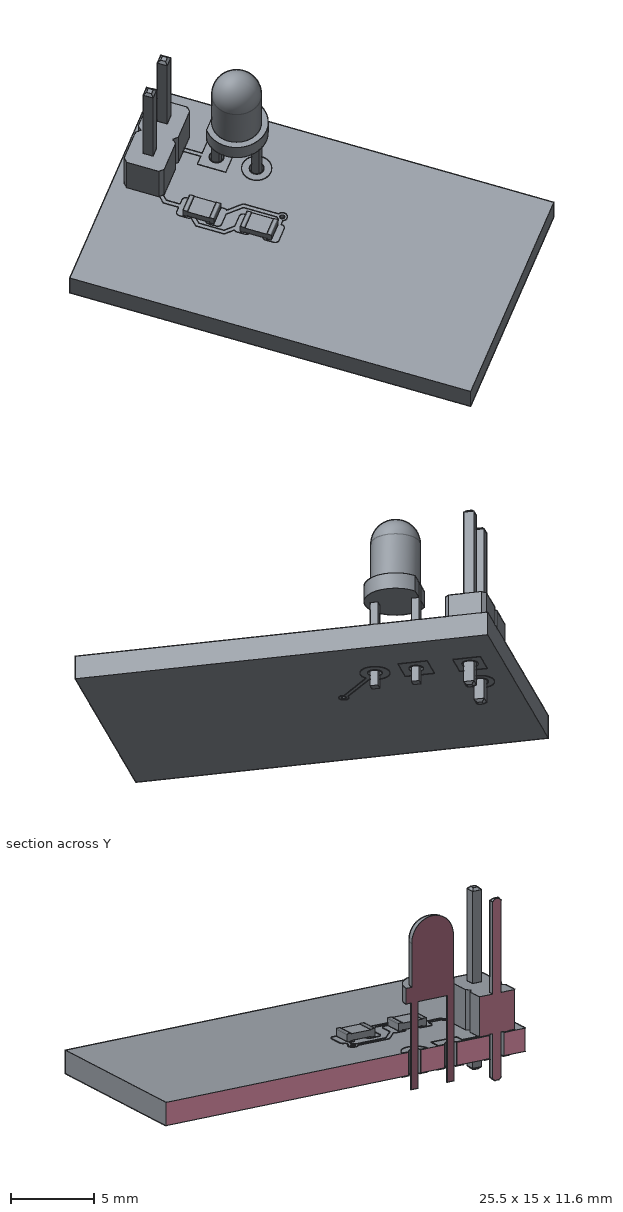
import cadquery as cq
import math


board_length = 25.5
board_width = 15.0
board_thickness = 1.5

copper_thickness = 0.035
track_width = 0.25
copper_top = copper_thickness
copper_bottom = -board_thickness - copper_thickness

pitch = 2.55

header_x = 2.01
header_upper_pin_y = 11.3
header_lower_pin_y = header_upper_pin_y - pitch
header_drill = 1.0
header_bore = 0.95
header_pad = 1.7
housing_size = pitch
housing_chamfer = 0.25
pin_width = 0.65
pin_above_board = 8.6
pin_below_board = 2.95
pin_tip_chamfer = 0.16

led_x = 6.58
led_y = 11.45
led_drill = 0.9
led_bore = 0.85
led_pad = 1.8
lens_diameter = 3.0
flange_diameter = 3.8
flange_bottom = 3.05
flange_height = 1.02
dome_start = 6.85
lead_width = 0.48
lead_below_board = 2.45
led_left_lead_x = led_x - pitch / 2
led_right_lead_x = led_x + pitch / 2

resistor_y = 7.27
resistor_1_x = 5.85
resistor_2_x = 9.49
resistor_length = 2.0
resistor_width = 1.22
resistor_height = 0.5
cap_length = 0.3
cap_rise = 0.04
resistor_pad_length = 1.02
resistor_pad_width = 1.4
resistor_pad_radius = 0.25
resistor_pad_offset = 0.92

via_x = 10.5
via_y = 8.55
via_drill = 0.3
via_bore = 0.25
via_pad = 0.6

upper_link_y = 8.55
lower_link_y = 6.3

header_upper = (header_x, header_upper_pin_y)
header_lower = (header_x, header_lower_pin_y)
led_left = (led_left_lead_x, led_y)
led_right = (led_right_lead_x, led_y)
via = (via_x, via_y)
r1_left = (resistor_1_x - resistor_pad_offset, resistor_y)
r1_right = (resistor_1_x + resistor_pad_offset, resistor_y)
r2_left = (resistor_2_x - resistor_pad_offset, resistor_y)
r2_right = (resistor_2_x + resistor_pad_offset, resistor_y)


def level(bottom):
    """Horizontal workplane at the given height."""
    return cq.Workplane("XY", origin=(0, 0, bottom))


def make_board():
    """Plain rectangular board with the drilled holes."""
    board = level(-board_thickness).box(board_length, board_width, board_thickness, centered=False)
    holes = [
        (header_drill, [header_upper, header_lower]),
        (led_drill, [led_left, led_right]),
        (via_drill, [via]),
    ]
    for diameter, centres in holes:
        drills = level(-board_thickness).pushPoints(centres).circle(diameter / 2).extrude(board_thickness)
        board = board.cut(drills)
    return board


def round_pad(centre, diameter, bottom):
    """Round pad on one board face."""
    return level(bottom).moveTo(*centre).circle(diameter / 2).extrude(copper_thickness)


def square_pad(centre, side, bottom):
    """Square pad on one board face."""
    return level(bottom).moveTo(*centre).rect(side, side).extrude(copper_thickness)


def through_cylinder(centre, diameter):
    """Upright cylinder from the lower face of the bottom copper to the upper face of the top copper."""
    return level(copper_bottom).moveTo(*centre).circle(diameter / 2).extrude(copper_top - copper_bottom)


def through_pads(centre, size, drill, pad_shape):
    """Pads on both faces joined by a solid plug that fills the drilled hole."""
    plug = through_cylinder(centre, drill)
    upper = pad_shape(centre, size, 0)
    lower = pad_shape(centre, size, copper_bottom)
    return plug.union(upper).union(lower)


def resistor_pad(centre):
    """Rounded rectangular pad under one resistor end."""
    return (
        level(0)
        .moveTo(*centre)
        .rect(resistor_pad_length, resistor_pad_width)
        .extrude(copper_thickness)
        .edges("|Z")
        .fillet(resistor_pad_radius)
    )


def track(points, bottom=0):
    """Track of constant width along straight stretches with round ends and bends."""
    run = round_pad(points[0], track_width, bottom)
    for start, end in zip(points, points[1:]):
        across = end[0] - start[0]
        along = end[1] - start[1]
        middle = ((start[0] + end[0]) / 2, (start[1] + end[1]) / 2, bottom)
        stretch = (
            cq.Workplane("XY")
            .rect(math.hypot(across, along), track_width)
            .extrude(copper_thickness)
            .rotate((0, 0, 0), (0, 0, 1), math.degrees(math.atan2(along, across)))
            .translate(middle)
        )
        run = run.union(stretch).union(round_pad(end, track_width, bottom))
    return run


def make_cathode_copper():
    """Upper header pin to the left LED lead."""
    track_end = (led_left_lead_x, header_upper_pin_y)
    copper = through_pads(header_upper, header_pad, header_drill, square_pad)
    copper = copper.union(through_pads(led_left, led_pad, led_drill, square_pad))
    copper = copper.union(track([header_upper, track_end]))
    copper = copper.cut(through_cylinder(header_upper, header_bore))
    return copper.cut(through_cylinder(led_left, led_bore))


def make_supply_copper():
    """Lower header pin to the left ends of both resistors."""
    supply_drop = header_lower_pin_y - resistor_y
    supply_bend = (header_x + supply_drop, resistor_y)
    link_drop = resistor_y - lower_link_y
    link_start = (r1_left[0] + link_drop, lower_link_y)
    link_end = (r2_left[0] - link_drop, lower_link_y)
    copper = through_pads(header_lower, header_pad, header_drill, round_pad)
    copper = copper.union(resistor_pad(r1_left)).union(resistor_pad(r2_left))
    copper = copper.union(track([header_lower, supply_bend, r1_left]))
    copper = copper.union(track([r1_left, link_start, link_end, r2_left]))
    return copper.cut(through_cylinder(header_lower, header_bore))


def make_anode_copper():
    """Right ends of both resistors, through the via, to the right LED lead."""
    link_bend = (r1_right[0] + upper_link_y - resistor_y, upper_link_y)
    copper = through_pads(via, via_pad, via_drill, round_pad)
    copper = copper.union(through_pads(led_right, led_pad, led_drill, round_pad))
    copper = copper.union(resistor_pad(r1_right)).union(resistor_pad(r2_right))
    copper = copper.union(track([r1_right, link_bend, via]))
    copper = copper.union(track([via, (via_x, resistor_y)]))
    copper = copper.union(track([via, led_right], copper_bottom))
    copper = copper.cut(through_cylinder(via, via_bore))
    return copper.cut(through_cylinder(led_right, led_bore))


def header_position(centre):
    """One chamfered housing block with its square pin."""
    block = (
        level(copper_top)
        .moveTo(*centre)
        .rect(housing_size, housing_size)
        .extrude(housing_size)
        .edges("|Z")
        .chamfer(housing_chamfer)
    )
    pin = (
        level(-pin_below_board)
        .moveTo(*centre)
        .rect(pin_width, pin_width)
        .extrude(pin_below_board + pin_above_board)
        .faces("<Z or >Z")
        .chamfer(pin_tip_chamfer)
    )
    return block.union(pin)


def make_header():
    """Two joined positions side by side."""
    return header_position(header_upper).union(header_position(header_lower))


def make_led():
    """Domed lens on a flange with one flat side, standing on two square leads."""
    lens_radius = lens_diameter / 2
    flange_top = flange_bottom + flange_height
    flange = (
        level(flange_bottom).moveTo(led_x, led_y).circle(flange_diameter / 2).extrude(flange_height)
    )
    flat_side = (
        level(flange_bottom)
        .moveTo(led_x - lens_radius - flange_diameter / 2, led_y)
        .rect(flange_diameter, flange_diameter)
        .extrude(flange_height)
    )
    lens = (
        cq.Workplane("XZ", origin=(led_x, led_y, 0))
        .moveTo(0, flange_bottom)
        .lineTo(lens_radius, flange_bottom)
        .lineTo(lens_radius, dome_start)
        .radiusArc((0, dome_start + lens_radius), -lens_radius)
        .close()
        .revolve(360, (0, 0, 0), (0, 1, 0))
    )
    leads = (
        level(-lead_below_board)
        .pushPoints([led_left, led_right])
        .rect(lead_width, lead_width)
        .extrude(lead_below_board + flange_top)
    )
    return flange.cut(flat_side).union(lens).union(leads)


def make_resistor(x):
    """Chip with rounded end caps that stand slightly proud above and below."""
    core_length = resistor_length - cap_length
    core_height = resistor_height - 2 * cap_rise
    chip = cq.Workplane("XY").box(core_length, resistor_width, core_height)
    for side in (-1, 1):
        cap = (
            cq.Workplane("XY")
            .box(cap_length, resistor_width, resistor_height)
            .edges("|Y")
            .fillet(cap_rise)
            .translate((side * core_length / 2, 0, 0))
        )
        chip = chip.union(cap)
    return chip.translate((x, resistor_y, copper_top + resistor_height / 2))


board = make_board()
cathode_copper = make_cathode_copper()
supply_copper = make_supply_copper()
anode_copper = make_anode_copper()
header = make_header()
led = make_led()
resistors = [make_resistor(x) for x in (resistor_1_x, resistor_2_x)]

result = cq.Compound.makeCompound(
    [
        board.val(),
        cathode_copper.val(),
        supply_copper.val(),
        anode_copper.val(),
        header.val(),
        led.val(),
        *[resistor.val() for resistor in resistors],
    ]
)